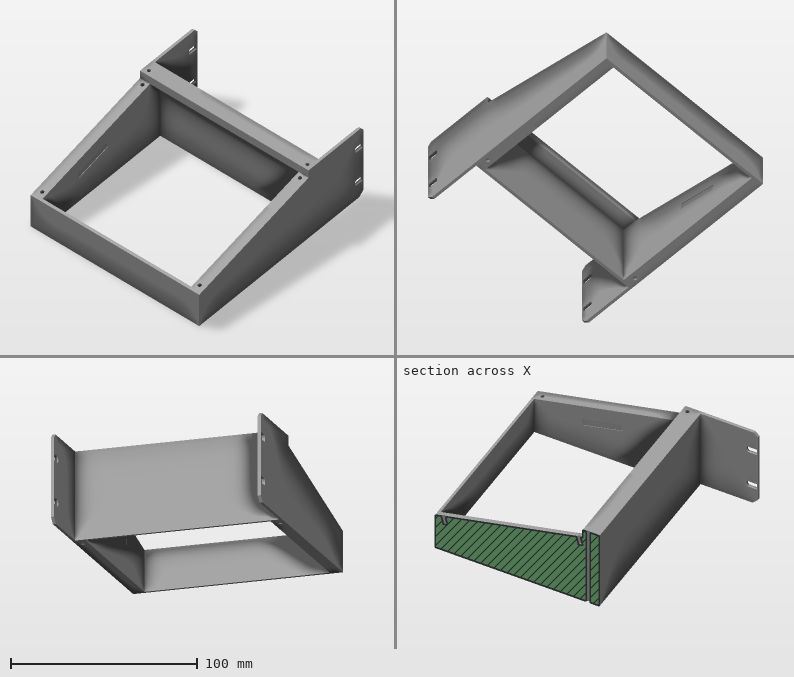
import cadquery as cq
import math

width = 119.0
length = 135.2
height = 50.0
sheet = 1.8

front_height = 23.1
bar_front = 90.1
bar_back = 100.4
bar_thickness = 5.4
shoulder_height = height - bar_thickness
top_chamfer = 2.5
bottom_chamfer = 3.1

rail_width = 7.0
rail_hole_inset = 3.9
rail_hole_places = (5.0, 87.5)
hole_diameter = 2.3
rail_hole_depth = 5.4

bar_hole_inset = 3.5
bar_hole_place = 93.3

slot_length = 6.5
slot_height = 3.8
slot_bulge = 1.0
slot_edge_gap = 0.5
slot_heights = (12.3, 36.8)

recess_length = 24.6
recess_height = 4.0
recess_depth = 0.3
recess_place = 43.1
recess_level = 22.2

slope = math.degrees(math.atan2(shoulder_height - front_height, bar_front))
inner_width = width - 2 * rail_width
back_wall_front = bar_back - sheet


def box(x_size, y_start, y_end, z_start, z_end):
    """Block centred on X and spanning the given Y and Z ranges."""
    return cq.Workplane("XY").box(
        x_size, y_end - y_start, z_end - z_start, centered=(True, False, False)
    ).translate((0, y_start, z_start))


def frame_body():
    """Sloping sides with chamfered rear corners, hollowed out between the walls."""
    body = (
        cq.Workplane("YZ")
        .polyline([
            (0, 0),
            (length - bottom_chamfer, 0),
            (length, bottom_chamfer),
            (length, height - top_chamfer),
            (length - top_chamfer, height),
            (bar_front, height),
            (bar_front, shoulder_height),
            (0, front_height),
        ])
        .close()
        .extrude(width / 2, both=True)
    )
    front_opening = box(inner_width, sheet, back_wall_front, 0, shoulder_height)
    rear_opening = box(width - 2 * sheet, bar_back, length, 0, height)
    return body.cut(front_opening).cut(rear_opening)


def rail_hole(x, y):
    """Blind hole square to the sloping rail top."""
    angle = math.radians(slope)
    surface = front_height + y * math.tan(angle)
    into_rail = cq.Vector(0, math.sin(angle), -math.cos(angle))
    return cq.Solid.makeCylinder(
        hole_diameter / 2, rail_hole_depth, cq.Vector(x, y, surface), into_rail
    )


def bar_hole(x):
    """Vertical hole through the cross bar and the rail below it."""
    return cq.Solid.makeCylinder(
        hole_diameter / 2, height, cq.Vector(x, bar_hole_place, 0)
    )


def ear_slots():
    """Mounting slots through both rear ears, square at the rear and rounded at the front."""
    rear = length - slot_edge_gap
    tip = rear - slot_length
    half = slot_height / 2
    slots = cq.Workplane("YZ")
    for level in slot_heights:
        slots = (
            slots
            .moveTo(rear, level - half)
            .lineTo(rear, level + half)
            .lineTo(tip + slot_bulge, level + half)
            .threePointArc((tip, level), (tip + slot_bulge, level - half))
            .close()
        )
    return slots.extrude(width / 2, both=True)


def rail_recesses():
    """Matching shallow recesses facing each other, parallel to the rail tops."""
    return (
        cq.Workplane("YZ")
        .center(recess_place, recess_level)
        .transformed(rotate=(0, 0, slope))
        .rect(recess_length, recess_height)
        .extrude(inner_width / 2 + recess_depth, both=True)
        .cut(box(inner_width, 0, length, 0, height))
    )


result = frame_body().cut(ear_slots()).cut(rail_recesses())
for side in (-1, 1):
    result = result.cut(cq.Workplane(bar_hole(side * (width / 2 - bar_hole_inset))))
    for place in rail_hole_places:
        result = result.cut(cq.Workplane(rail_hole(side * (width / 2 - rail_hole_inset), place)))